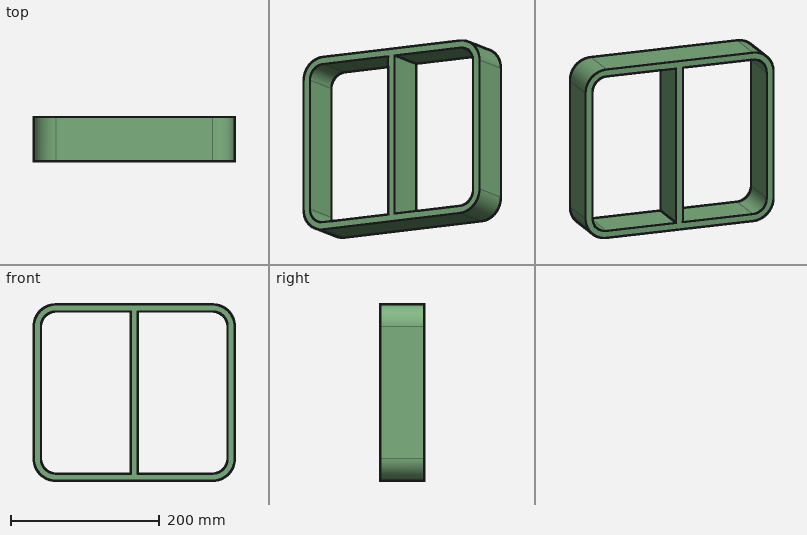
import cadquery as cq

width = 271.0
depth = 60.0
height = 238.0

wall = 10.0
outer_radius = 30.0
inner_radius = outer_radius - wall


def rounded_block(size_x, size_z, corner_radius):
    """Block centred on the origin, with its corners along Y rounded."""
    return cq.Workplane("XY").box(size_x, depth, size_z).edges("|Y").fillet(corner_radius)


opening_width = width - 2 * wall
opening_height = height - 2 * wall
rim = rounded_block(width, height, outer_radius).cut(
    rounded_block(opening_width, opening_height, inner_radius)
)

divider = cq.Workplane("XY").box(wall, depth, opening_height + wall)

result = rim.union(divider)